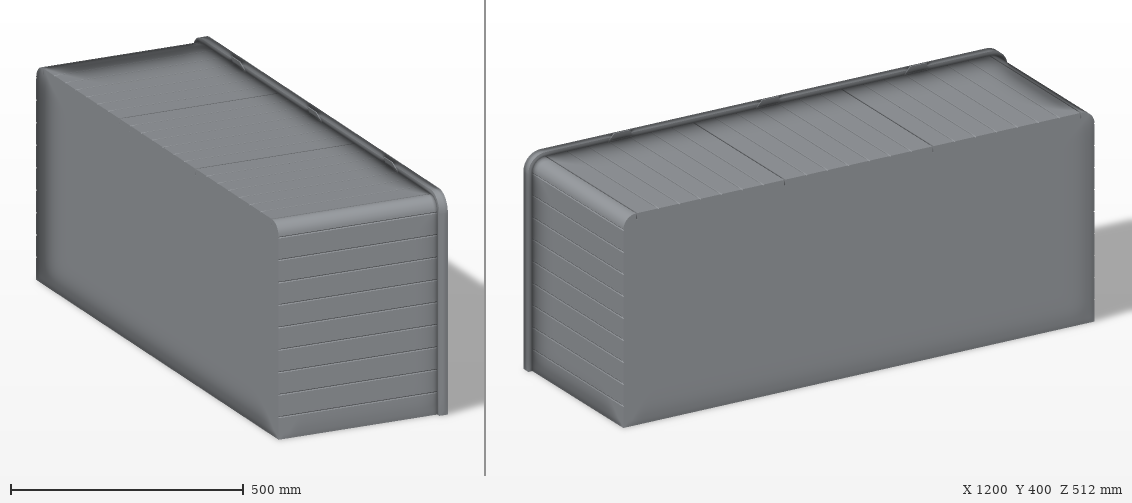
import cadquery as cq
import math


LENGTH = 1200.0
DEPTH = 400.0
BOARD_HEIGHT = 500.0
TOTAL_HEIGHT = 512.0

BOARD_THICKNESS = 20.0
BOARD_RADIUS = 42.0
REVEAL = 10.0
CASE_LENGTH = LENGTH - 2 * REVEAL
CASE_HEIGHT = BOARD_HEIGHT - REVEAL
CASE_DEPTH = DEPTH - BOARD_THICKNESS
CASE_RADIUS = BOARD_RADIUS - REVEAL
SIDE_THICKNESS = CASE_RADIUS
OPENING = CASE_LENGTH - 2 * SIDE_THICKNESS
SIDE_STRAIGHT = CASE_HEIGHT - CASE_RADIUS

LID_COUNT = 3
LID_THICKNESS = 15.0
LID_GAP = 4.0
LID_LENGTH = (OPENING - (LID_COUNT + 1) * LID_GAP) / LID_COUNT
LID_PITCH = LID_LENGTH + LID_GAP

SLATS_PER_LID = 7
SLATS_PER_SIDE = 9
LID_SLAT = LID_LENGTH / SLATS_PER_LID
SIDE_SLAT = SIDE_STRAIGHT / SLATS_PER_SIDE
GROOVE_DEPTH = 2.0
GROOVE_WIDTH = 2 * GROOVE_DEPTH

TAB_BASE = 59.0
TAB_TOP = 41.0
TAB_THICKNESS = 2.0
TAB_FOOT_HEIGHT = 4.0
TAB_REACH = 11.0
TAB_RISE = TOTAL_HEIGHT - CASE_HEIGHT

LEFT = -1
RIGHT = 1


def make_face_board():
    """Upright board with rounded top corners."""
    board = cq.Workplane("XY").box(LENGTH, BOARD_THICKNESS, BOARD_HEIGHT, centered=(True, False, False))
    board = board.translate((0, -BOARD_THICKNESS, 0))
    return board.edges("|Y and >Z").fillet(BOARD_RADIUS)


def make_side_panel(side):
    """End panel with a quarter-round top and level grooves on its outer face."""
    outer = side * CASE_LENGTH / 2
    inner = side * OPENING / 2
    arc_offset = CASE_RADIUS * math.sqrt(0.5)
    arc_middle = (inner + side * arc_offset, SIDE_STRAIGHT + arc_offset)
    panel = (
        cq.Workplane("XZ", origin=(0, -BOARD_THICKNESS, 0))
        .moveTo(inner, 0)
        .lineTo(outer, 0)
        .lineTo(outer, SIDE_STRAIGHT)
        .threePointArc(arc_middle, (inner, CASE_HEIGHT))
        .close()
        .extrude(CASE_DEPTH)
    )
    for index in range(1, SLATS_PER_SIDE + 1):
        height = index * SIDE_SLAT
        groove = (
            cq.Workplane("XZ", origin=(0, -BOARD_THICKNESS, 0))
            .moveTo(outer, height - GROOVE_WIDTH / 2)
            .lineTo(outer - side * GROOVE_DEPTH, height)
            .lineTo(outer, height + GROOVE_WIDTH / 2)
            .close()
            .extrude(CASE_DEPTH)
        )
        panel = panel.cut(groove)
    return panel


def make_rear_panel():
    """Plain panel between the side panels, under the lids and flush with their free edges."""
    panel_height = CASE_HEIGHT - LID_THICKNESS
    panel = cq.Workplane("XY").box(OPENING, BOARD_THICKNESS, panel_height, centered=(True, False, False))
    return panel.translate((0, -DEPTH, 0))


def make_lid(center):
    """Flat lid with grooves between its slats."""
    lid = (
        cq.Workplane("XY")
        .box(LID_LENGTH, CASE_DEPTH, LID_THICKNESS, centered=(True, False, False))
        .translate((center, -DEPTH, CASE_HEIGHT - LID_THICKNESS))
    )
    for index in range(1, SLATS_PER_LID):
        middle = center - LID_LENGTH / 2 + index * LID_SLAT
        groove = (
            cq.Workplane("XZ", origin=(0, -BOARD_THICKNESS, 0))
            .moveTo(middle - GROOVE_WIDTH / 2, CASE_HEIGHT)
            .lineTo(middle, CASE_HEIGHT - GROOVE_DEPTH)
            .lineTo(middle + GROOVE_WIDTH / 2, CASE_HEIGHT)
            .close()
            .extrude(CASE_DEPTH)
        )
        lid = lid.cut(groove)
    return lid


def make_tab(center):
    """Thin bent plate, narrower at its top: an upright foot against the face board, then a leaning grip."""
    back = -BOARD_THICKNESS
    bend_height = CASE_HEIGHT + TAB_FOOT_HEIGHT
    bent_plate = (
        cq.Workplane("YZ", origin=(center - TAB_BASE / 2, 0, 0))
        .moveTo(back, CASE_HEIGHT)
        .lineTo(back - TAB_THICKNESS, CASE_HEIGHT)
        .lineTo(back - TAB_THICKNESS, bend_height)
        .lineTo(back - TAB_REACH, TOTAL_HEIGHT)
        .lineTo(back - TAB_REACH + TAB_THICKNESS, TOTAL_HEIGHT)
        .lineTo(back, bend_height)
        .close()
        .extrude(TAB_BASE)
    )
    outline = (
        cq.Workplane("XZ", origin=(center, 0, CASE_HEIGHT))
        .moveTo(-TAB_BASE / 2, 0)
        .lineTo(TAB_BASE / 2, 0)
        .lineTo(TAB_TOP / 2, TAB_RISE)
        .lineTo(-TAB_TOP / 2, TAB_RISE)
        .close()
        .extrude(DEPTH)
    )
    return bent_plate.intersect(outline)


lid_centers = [(index - (LID_COUNT - 1) / 2) * LID_PITCH for index in range(LID_COUNT)]

face_board = make_face_board()
side_panels = [make_side_panel(side) for side in (LEFT, RIGHT)]
rear_panel = make_rear_panel()
lids = [make_lid(center) for center in lid_centers]
tabs = [make_tab(center) for center in lid_centers]

bodies = [face_board, rear_panel, *side_panels, *lids, *tabs]
result = cq.Compound.makeCompound([body.val() for body in bodies])